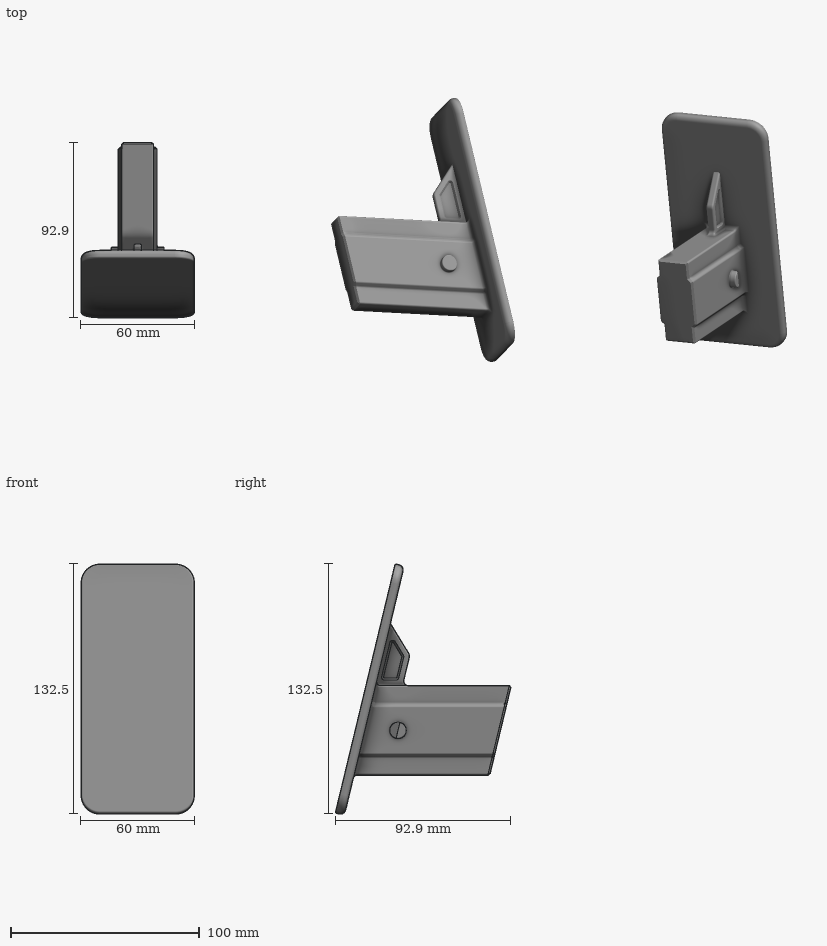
import cadquery as cq
import math

tilt = 13.5
plate_width = 60.0
plate_length = 135.9
plate_thickness = 5.0
plate_corner_radius = 10.1
plate_back_round = 3.0
edge_round = 1.0

stem_reach = 70.0
stem_height = 47.5
stem_top = 2.1
core_width = 17.0
ridge_width = 20.7
step_drop = 9.4
step_round = 1.2
end_chamfer = 1.0
stem_root_round = 2.0

rib_thickness = 4.0
rib_depth = 13.9
rib_peak = 36.5
rib_corner_round = 3.3
rib_foot_round = 2.4
pad_width = 2 * rib_thickness
pad_length = 26.5
pad_thickness = 0.7
pocket_rim = 2.9
pocket_plate_gap = 2.0
pocket_depth = 1.0
pocket_wall_angle = 45.0
pocket_corner_round = 1.6

stud_radius = 4.4
stud_height = 3.7
stud_setback = 17.1
ramp_angle = 30.0
stud_tip_round = 0.5
stud_root_round = 0.5

tolerance = 0.001

tilt_sin = math.sin(math.radians(tilt))
tilt_cos = math.cos(math.radians(tilt))
plate_back = plate_thickness / 2
stem_bottom = stem_top - stem_height
stem_middle = (stem_top + stem_bottom) / 2
step_zone = stem_height / 2 - step_drop / 2
back_normal = cq.Vector(0, tilt_cos, -tilt_sin)
side_plane = cq.Plane(origin=(0, 0, 0), xDir=back_normal, normal=(1, 0, 0))


def lean(shape):
    """Tilt an upright shape back about the X axis."""
    return shape.rotate((0, 0, 0), (1, 0, 0), -tilt)


def climb_at(depth, height):
    """Distance up the plate of the point at the given plate depth and world height."""
    return (height + depth * tilt_sin) / tilt_cos


def make_plate():
    """Rounded plate, leaned back, with its back edge more rounded than its front edge."""
    plate = (
        cq.Workplane("XZ")
        .rect(plate_width, plate_length)
        .extrude(plate_thickness / 2, both=True)
        .edges("|Y")
        .fillet(plate_corner_radius)
    )
    plate = plate.faces(">Y").edges().fillet(plate_back_round)
    plate = plate.faces("<Y").edges().fillet(edge_round)
    return lean(plate)


def crossing_edges(body, depth):
    """Stem edges lying in the plane parallel to the plate at the given depth."""
    return [
        edge
        for edge in body.edges().vals()
        if abs(edge.Center().x) < ridge_width
        and all(abs(cq.Vector(v.toTuple()).dot(back_normal) - depth) < tolerance for v in edge.Vertices())
    ]


def lengthwise_edges(body, nearest, farthest):
    """Stem edges running out along Y, between two vertical distances from the stem's middle height."""
    return [
        edge
        for edge in body.edges("|Y").vals()
        if abs(edge.Center().x) < ridge_width
        and edge.Center().y > 0
        and nearest < abs(edge.Center().z - stem_middle) < farthest
    ]


def round_edges(body, edges, radius):
    """Body with the given list of edges filleted."""
    return cq.Workplane(body.val().fillet(radius, edges))


def make_stem():
    """Sharp-edged stem reaching back from the plate."""
    step = (ridge_width - core_width) / 2
    half_height = stem_height / 2
    upper_right = [
        (ridge_width / 2, half_height - step_drop - step),
        (core_width / 2, half_height - step_drop),
        (core_width / 2, half_height),
    ]
    right = [(x, -z) for x, z in reversed(upper_right)] + upper_right
    left = [(-x, z) for x, z in reversed(right)]
    bar_length = 3 * stem_reach
    slab_height = 2 * plate_length
    bar = (
        cq.Workplane("XZ", origin=(0, -stem_reach, stem_middle))
        .polyline(right + left)
        .close()
        .extrude(-bar_length)
    )
    slab = cq.Workplane("XY").box(plate_width, stem_reach, slab_height, centered=(True, False, True))
    return bar.intersect(lean(slab).translate(back_normal * plate_back))


def rib_outline(inset, inner_depth, floor_height):
    """Four-sided gusset profile, its crest and 45 degree slope drawn in by the inset."""
    crest = plate_back + rib_depth - inset
    slope_reach = plate_back + rib_peak - inset * math.sqrt(2)
    return [
        (inner_depth, climb_at(inner_depth, floor_height)),
        (crest, climb_at(crest, floor_height)),
        (crest, slope_reach - crest),
        (inner_depth, slope_reach - inner_depth),
    ]


def make_pocket():
    """Pocket in the +X face of the gusset, with sloping walls."""
    outline = rib_outline(pocket_rim, plate_back + pocket_plate_gap, stem_top + pocket_rim)
    sketch = cq.Sketch().polygon(outline + outline[:1]).vertices().fillet(pocket_corner_round)
    return (
        cq.Workplane(side_plane)
        .workplane(offset=rib_thickness / 2)
        .placeSketch(sketch)
        .extrude(-pocket_depth, taper=pocket_wall_angle)
    )


def make_rib():
    """Gusset on a pad sunk into the stem top, so that its foot is rounded only along the stem."""
    rib = (
        cq.Workplane(side_plane)
        .polyline(rib_outline(0, 0, stem_top))
        .close()
        .extrude(rib_thickness / 2, both=True)
    )
    rib = rib.edges("|X").edges(">Y").fillet(rib_corner_round)
    pad = cq.Workplane("XY", origin=(0, 0, stem_top - pad_thickness)).box(
        pad_width, pad_length, pad_thickness, centered=(True, False, False)
    )
    rib = rib.union(pad)

    foot_corner = side_plane.toWorldCoords(rib_outline(0, 0, stem_top)[1])
    at_foot_corner = cq.selectors.NearestToPointSelector(foot_corner.toTuple())
    rib = rib.edges("|X").edges(at_foot_corner).fillet(rib_foot_round)

    side_edges = [
        edge
        for edge in rib.edges().vals()
        if abs(abs(edge.Center().x) - rib_thickness / 2) < tolerance
        and (edge.Center().dot(back_normal) > plate_back or abs(edge.Center().z - stem_top) < tolerance)
    ]
    rib = round_edges(rib, side_edges, edge_round)
    pocket = make_pocket()
    return rib.cut(pocket).cut(pocket.mirror("YZ"))


def make_stud():
    """Stud on the +X side, flat on its far half and ramped down towards the plate on its near half."""
    stud_depth = plate_back + stud_setback
    axis_point = side_plane.toWorldCoords((stud_depth, climb_at(stud_depth, stem_middle)))
    stud_plane = cq.Plane(origin=axis_point, xDir=back_normal, normal=(1, 0, 0))
    tip = ridge_width / 2 + stud_height
    ramp_drop = stud_radius * math.tan(math.radians(ramp_angle))
    side_profile = [
        (-stud_radius, 0),
        (stud_radius, 0),
        (stud_radius, tip),
        (0, tip),
        (-stud_radius, tip - ramp_drop),
    ]
    climb_normal = back_normal.cross(cq.Vector(1, 0, 0))
    profile_plane = cq.Plane(origin=axis_point, xDir=back_normal, normal=climb_normal)
    profile = cq.Workplane(profile_plane).polyline(side_profile).close().extrude(stud_radius, both=True)
    stud = cq.Workplane(stud_plane).circle(stud_radius).extrude(tip).intersect(profile)
    rim = [
        edge
        for edge in stud.edges("not #X").edges("not %LINE").vals()
        if edge.Center().x > ridge_width / 2
    ]
    return round_edges(stud, rim, stud_tip_round)


def stud_foot_edges(body):
    """Circles where the studs rise from the ridge sides."""
    return [
        edge
        for edge in body.edges("%CIRCLE").vals()
        if abs(edge.radius() - stud_radius) < tolerance
        and abs(abs(edge.Center().x) - ridge_width / 2) < tolerance
    ]


body = make_plate().union(make_stem())
body = round_edges(body, crossing_edges(body, plate_back), stem_root_round)
body = body.newObject(crossing_edges(body, plate_back + stem_reach)).chamfer(end_chamfer)
body = round_edges(body, lengthwise_edges(body, 0, step_zone), step_round)
body = round_edges(body, lengthwise_edges(body, step_zone, stem_height), edge_round)
body = body.union(make_rib())

stud = make_stud()
body = body.union(stud).union(stud.mirror("YZ"))
result = round_edges(body, stud_foot_edges(body), stud_root_round).solids()